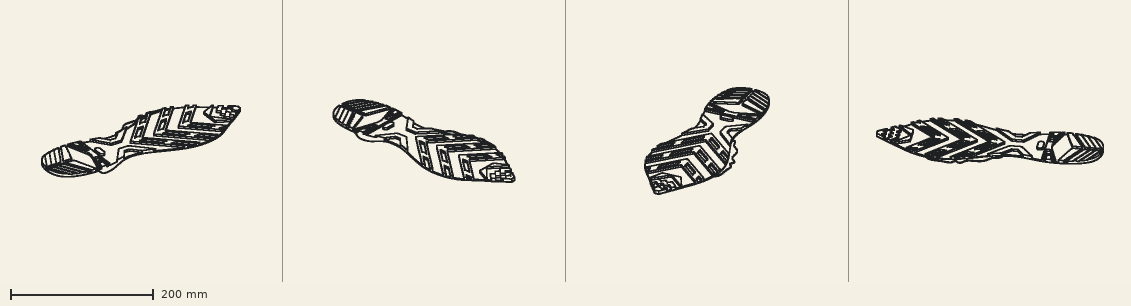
import cadquery as cq
import math


length = 320.0
overall_height = 12.5
sheet_height = 2.0
tread_height = 3.0
flange_height = 1.0
sole_height = sheet_height + tread_height
arch_depth = overall_height - sole_height
blank_depth = 2 * arch_depth
beyond = 64.0


def mirrored(points):
    return [(-x, y) for x, y in points]


def prism(points, bottom, height):
    return cq.Workplane("XY").workplane(offset=bottom).polyline(points).close().extrude(height)


def tread_prism(points):
    """Prism over a plan outline, standing on the sheet and as tall as the tread."""
    return prism(points, sheet_height, tread_height)


def both_sides(solid):
    return solid.union(solid.mirror("YZ"))


nose_half = 3.2
forefoot_right = [(19.5, 298.5), (35.8, 275.5), (46.5, 259.8), (52.0, 244.5)]
forefoot_left = [(-19.0, 298.5), (-35.2, 275.5), (-44.5, 259.8), (-50.5, 244.5)]
rear_side = [
    (55.0, 219.8), (52.0, 198.5), (44.5, 175.0), (35.5, 152.0), (31.5, 137.5), (30.0, 121.3),
    (35.0, 94.0), (39.0, 73.3), (39.7, 48.0), (35.2, 24.5), (26.5, 9.5),
]
heel_point = (0, 0)


def sole_blank():
    """Upright column over the sole outline, from below the arch lump to the top of the tread."""
    outline = forefoot_right + rear_side + [heel_point] + mirrored(rear_side)[::-1] + forefoot_left[::-1]
    return (
        cq.Workplane("XY").workplane(offset=-blank_depth)
        .moveTo(-nose_half, length).lineTo(nose_half, length).lineTo(*outline[0])
        .spline(outline[1:], includeCurrent=True)
        .close().extrude(blank_depth + sole_height)
    )


def side_flange():
    return (
        cq.Workplane("XY")
        .moveTo(-32.0, 137.3).lineTo(-33.3, 137.3).lineTo(-37.0, 139.2).lineTo(-39.5, 148.5)
        .lineTo(-40.5, 151.3).lineTo(-48.5, 159.0)
        .threePointArc((-51.2, 163.5), (-52.0, 168.5))
        .lineTo(-52.0, 181.5).lineTo(-53.7, 185.2).lineTo(-60.5, 192.0).lineTo(-60.5, 195.5)
        .lineTo(-57.0, 199.0).lineTo(-57.0, 201.0).lineTo(-61.7, 205.7).lineTo(-61.7, 212.0)
        .spline([(-59.0, 229.0), (-55.5, 239.0), (-51.8, 242.0)], includeCurrent=True)
        .lineTo(-44.8, 242.0)
        .close().extrude(flange_height)
    )


def arch_lump():
    front, crest, rear = 116.0, 77.0, 60.8
    inner_x, arc_start, outer_x = 29.8, 91.2, 39.7
    keel = [(104.3, -1.5), (96.5, -3.8), (86.5, -6.7), (crest, -arch_depth), (68.8, -6.5), (rear, 0)]
    side = (
        cq.Workplane("YZ")
        .moveTo(front, 0)
        .spline(keel, tangents=[(-1, -0.08), (-1, 0.9)], includeCurrent=True)
        .close().extrude(beyond)
    )
    plan = (
        cq.Workplane("XY").workplane(offset=-blank_depth)
        .moveTo(inner_x, front).lineTo(inner_x, arc_start)
        .tangentArcPoint((outer_x, rear), relative=False)
        .lineTo(beyond, rear).lineTo(beyond, front)
        .close().extrude(blank_depth)
    )
    return side.intersect(plan)


slope_left, slope_right = 0.91, 1.1
band_apexes = [219.0, 178.0, 139.2]
band_width = 19.5
window_offset, window_width = 5.8, 8.5
window_inner, window_outer, side_window = 5.5, 26.2, 35.8


def slanted_strip(x_start, x_end, slope, base, width):
    """Parallelogram between two X values, rising away from the centre line."""
    low_start = base + slope * abs(x_start)
    low_end = base + slope * abs(x_end)
    return tread_prism([
        (x_start, low_start), (x_end, low_end), (x_end, low_end + width), (x_start, low_start + width),
    ])


def v_band(apex):
    band = None
    for side, slope in ((-1, slope_left), (1, slope_right)):
        arm = slanted_strip(0, side * beyond, slope, apex, band_width)
        for start, end in ((window_inner, window_outer), (side_window, beyond)):
            arm = arm.cut(slanted_strip(side * start, side * end, slope, apex + window_offset, window_width))
        band = arm if band is None else band.union(arm)
    return band


zigzag_centre, zigzag_width, zigzag_rise = 1.2, 20.0, 5.0
zigzag_step = zigzag_width / 4
zigzag_valleys = [307.0, 297.2, 287.5]
cap_rear, cap_half = 270.7, 14.5
cap_flare = 0.51
cap_v_slope = 0.91


def zigzag(valley):
    """Three valleys and two peaks, with the end flanks running on past the sole."""
    points = [
        (zigzag_centre + i * zigzag_step, valley + (zigzag_rise if i % 2 else 0)) for i in range(-2, 3)
    ]
    flank_steps = 6
    flank_run = flank_steps * zigzag_step
    flank_top = valley + flank_steps * zigzag_rise
    start = (points[0][0] - flank_run, flank_top)
    end = (points[-1][0] + flank_run, flank_top)
    return [start] + points + [end]


def toe_cap():
    cap_side = cap_half + cap_flare * (length - cap_rear)
    cap = tread_prism([
        (-cap_half, cap_rear), (cap_half, cap_rear), (cap_side, length), (-cap_side, length),
    ])
    first, second, third = [zigzag(valley) for valley in zigzag_valleys]
    v_end = cap_rear + cap_v_slope * beyond
    rear_v = [(beyond, v_end), (0, cap_rear), (-beyond, v_end)]
    return cap.cut(tread_prism(first + second[::-1])).cut(tread_prism(third + rear_v))


def bent_outline(x, top, bottom, top_slope, bottom_slope):
    reach = beyond - x
    return [
        (beyond, top + top_slope * reach), (x, top), (x, bottom), (beyond, bottom - bottom_slope * reach),
    ]


def waist_bars():
    bar = tread_prism(bent_outline(x=9.3, top=130.2, bottom=113.5, top_slope=0.96, bottom_slope=0.75))
    recess = tread_prism(bent_outline(x=18.2, top=126.0, bottom=117.5, top_slope=0.95, bottom_slope=0.7))
    return both_sides(bar.cut(recess))


def oval_stud():
    stud_y, stud_length, stud_width = 88.3, 19.2, 8.3
    return (
        cq.Workplane("XY").workplane(offset=sheet_height)
        .center(0, stud_y).slot2D(stud_length, stud_width).extrude(tread_height)
    )


strap_front, strap_rear = 80.5, 72.0
strap_flat_half, strap_slope = 4.5, 0.32


def strap_rear_at(x):
    return strap_rear - strap_slope * (x - strap_flat_half)


def strap_panel(x_start, x_end, front, margin):
    """Panel whose rear edge stays a fixed Y margin ahead of the strap's rear edge."""
    return tread_prism([
        (x_start, front), (x_start, strap_rear_at(x_start) + margin),
        (x_end, strap_rear_at(x_end) + margin), (x_end, front),
    ])


def heel_strap():
    rim = 3.0
    island_gap = 2.2
    window_start, window_end = 11.5, 23.5
    notch_start = 26.0
    pocket_front = strap_front - rim
    half = strap_panel(strap_flat_half, beyond, strap_front, 0)
    half = half.cut(strap_panel(window_start, window_end, pocket_front, rim))
    half = half.cut(strap_panel(notch_start, beyond, pocket_front, rim))
    island = strap_panel(notch_start + island_gap, beyond, pocket_front - island_gap, rim + island_gap)
    half = half.union(island)
    centre = tread_prism([
        (-strap_flat_half, strap_rear), (strap_flat_half, strap_rear),
        (strap_flat_half, strap_front), (-strap_flat_half, strap_front),
    ])
    return both_sides(half).union(centre)


gutter_half = 3.0
lug_slope = 0.53
front_lug_front, front_lug_rear, rear_lug_front = 43.5, 29.8, 25.5
front_lug_front_slope = 0.36
tooth_count, tooth_drop, last_tooth_rear = 3, 1.0, 2.08
tooth_pitch = (rear_lug_front - last_tooth_rear) / tooth_count


def heel_panel(front, front_slope, rear, rear_slope):
    reach = beyond - gutter_half
    return tread_prism([
        (gutter_half, rear), (beyond, rear + rear_slope * reach),
        (beyond, front + front_slope * reach), (gutter_half, front),
    ])


def tooth_cutter(front):
    """Wedge that slopes the top down toward the heel over one tooth pitch."""
    angle = math.atan(lug_slope)
    width = tooth_pitch * math.cos(angle)
    along = cq.Vector(math.cos(angle), math.sin(angle), 0)
    heelward = cq.Vector(math.sin(angle), -math.cos(angle), 0)
    start = cq.Vector(gutter_half, front, sole_height) - along * (width * math.tan(angle))
    return (
        cq.Workplane(cq.Plane(origin=start, xDir=heelward, normal=along))
        .polyline([(0, 0), (width, tooth_drop), (width, 0)]).close().extrude(beyond)
    )


def heel_lugs():
    front_lug = heel_panel(front_lug_front, front_lug_front_slope, front_lug_rear, lug_slope)
    rear_lug = heel_panel(rear_lug_front, lug_slope, 0, 0)
    for i in range(tooth_count):
        rear_lug = rear_lug.cut(tooth_cutter(rear_lug_front - i * tooth_pitch))
    return both_sides(front_lug.union(rear_lug))


surround = [
    (-beyond, -beyond), (beyond, -beyond), (beyond, length + beyond), (-beyond, length + beyond),
]


def tread_grooves():
    grooves = tread_prism(surround)
    parts = [v_band(apex) for apex in band_apexes]
    parts += [toe_cap(), waist_bars(), oval_stud(), heel_strap(), heel_lugs()]
    for part in parts:
        grooves = grooves.cut(part)
    return grooves


def space_around_arch_lump():
    return prism(surround, -blank_depth, blank_depth).cut(arch_lump())


result = sole_blank().cut(tread_grooves()).cut(space_around_arch_lump()).union(side_flange()).solids()